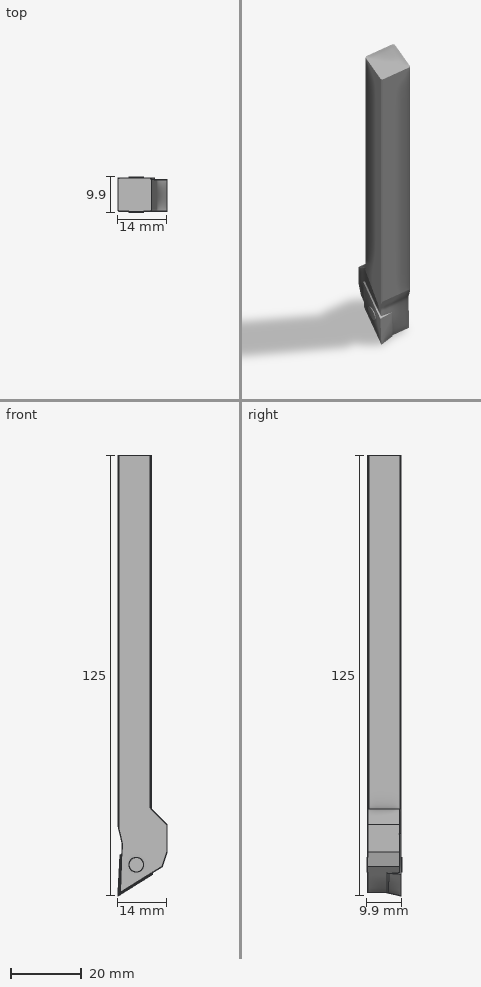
import cadquery as cq
import math

LENGTH = 125.0
SHANK = 9.5
SHANK_CHAMFER = 0.4
BACK_Y = SHANK / 2
FRONT_Y = -SHANK / 2

HEAD_WIDTH = 14.0
SHOULDER_TOP_Z = 24.8
SHOULDER_BOTTOM_Z = SHOULDER_TOP_Z - (HEAD_WIDTH - SHANK)
HEAD_SIDE_BOTTOM_Z = 12.5
HEAD_CORNER = (12.6, 8.4)
HEAD_TIP = (0.8, 1.0)
RELIEF_TOP_Z = 20.1
RELIEF_CORNER = (1.2, 14.9)
RELIEF_RADIUS = 5.0
HEAD_BACK_STEP = 0.5
STEP_END_X = 1.2
STEP_END_Z = 16.1

INSERT_SIDE = 11.6
INSERT_TIP_ANGLE = 55.0
INSERT_TILT = 3.0
INSERT_CLEARANCE = 7.0
INSERT_THICKNESS = 4.0
INSERT_BACK_Y = BACK_Y

SCREW_DIAMETER = 4.1
SCREW_PROTRUSION = 0.2

left_angle = math.radians(90 - INSERT_TILT)
right_angle = left_angle - math.radians(INSERT_TIP_ANGLE)
left_corner = (INSERT_SIDE * math.cos(left_angle), INSERT_SIDE * math.sin(left_angle))
right_corner = (INSERT_SIDE * math.cos(right_angle), INSERT_SIDE * math.sin(right_angle))
far_corner = (left_corner[0] + right_corner[0], left_corner[1] + right_corner[1])
insert_center = (far_corner[0] / 2, far_corner[1] / 2)


def plane_at(y):
    """XZ plane at the given Y; positive extrusion runs towards the front (-Y)."""
    return cq.Workplane("XZ", origin=(0, y, 0))


def make_screw():
    length = SHANK + 2 * SCREW_PROTRUSION
    screw = plane_at(BACK_Y + SCREW_PROTRUSION).center(*insert_center)
    return screw.circle(SCREW_DIAMETER / 2).extrude(length)


def make_insert_blank():
    corners = [(0, 0), right_corner, far_corner, left_corner]
    outline = plane_at(INSERT_BACK_Y).polyline(corners).close()
    return outline.extrude(INSERT_THICKNESS, taper=INSERT_CLEARANCE)


def make_holder_blank():
    outline = [
        (0, LENGTH),
        (SHANK, LENGTH),
        (SHANK, SHOULDER_TOP_Z),
        (HEAD_WIDTH, SHOULDER_BOTTOM_Z),
        (HEAD_WIDTH, HEAD_SIDE_BOTTOM_Z),
        HEAD_CORNER,
        HEAD_TIP,
        RELIEF_CORNER,
        (0, RELIEF_TOP_Z),
    ]
    blank = plane_at(BACK_Y).polyline(outline).close().extrude(SHANK)

    relief_x, relief_z = RELIEF_CORNER
    relief_edge = cq.selectors.NearestToPointSelector((relief_x, 0, relief_z))
    blank = blank.edges(relief_edge).fillet(RELIEF_RADIUS)

    margin = SHANK_CHAMFER
    shank_edges = cq.selectors.BoxSelector(
        (-margin, FRONT_Y - margin, LENGTH / 2), (SHANK + margin, BACK_Y + margin, LENGTH - margin)
    )
    return blank.edges("|Z").edges(shank_edges).chamfer(SHANK_CHAMFER)


def make_back_step():
    """Thin layer removed from the back of the head, below a sloping step."""
    slope = (SHOULDER_TOP_Z - STEP_END_Z) / (SHANK - STEP_END_X)
    right_z = STEP_END_Z + slope * (HEAD_WIDTH - STEP_END_X)
    left_z = STEP_END_Z - slope * STEP_END_X
    outline = [(0, 0), (HEAD_WIDTH, 0), (HEAD_WIDTH, right_z), (0, left_z)]
    return plane_at(BACK_Y).polyline(outline).close().extrude(HEAD_BACK_STEP)


screw = make_screw()
insert_blank = make_insert_blank()
insert = insert_blank.cut(screw)
holder = make_holder_blank().cut(make_back_step()).cut(insert_blank).union(screw)

result = cq.Compound.makeCompound([holder.val(), insert.val()])